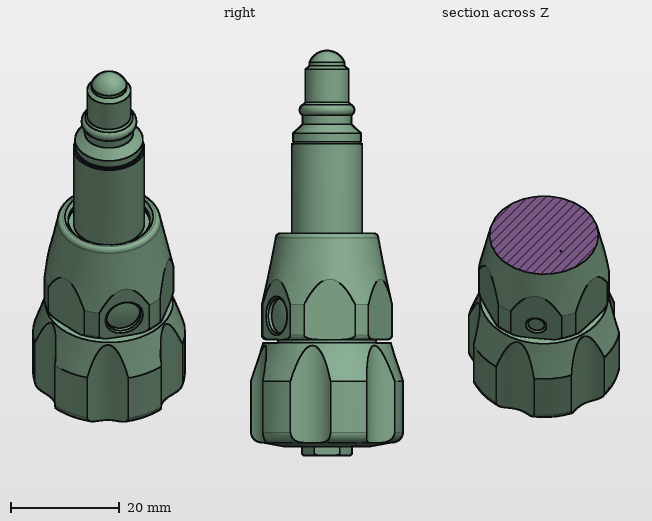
import cadquery as cq
import math

total_height = 74.4
side_count = 6
side_pitch = 360.0 / side_count

nut_across_flats = 7.95
nut_corner_radius = nut_across_flats / 2 / math.cos(math.radians(side_pitch / 2))
nut_chamfer = 0.3

knob_radius = 14.0
knob_top_radius = 11.75
knob_bottom_z = 1.6
knob_dish_radius = 7.8
knob_rim_bottom_z = 2.4
knob_rim_inner_radius = 11.9
knob_wall_bottom_z = 4.25
knob_shoulder_z = 13.7
knob_top_z = 20.7
scallop_radius = 5.35
scallop_floor_radius = 11.9
scallop_angle = 47.0

neck_radius = 9.0

collar_radius = 12.0
collar_flat_radius = 11.0
collar_flat_angle = 2.6
collar_bottom_z = 21.3
collar_bottom_radius = 11.1
collar_wall_bottom_z = 22.2
collar_shoulder_z = 27.75
collar_taper_top_z = 39.95
collar_taper_top_radius = 9.45
collar_top_z = 40.8
collar_rim_radius = 8.5
bore_mouth_radius = 8.1
bore_radius = 7.5
bore_depth = 1.5
bore_taper_depth = 0.75

button_angle = collar_flat_angle - side_pitch
button_z = 25.65
button_radius = 6.5 / 2
button_mouth_radius = 7.15 / 2
button_depth = 1.05
button_crown = 0.3
vent_angle = button_angle + 180
vent_z = 24.6
vent_radius = 3.05 / 2
vent_mouth_radius = 3.9 / 2
recess_chamfer_depth = 0.3

spindle_radius = 13.0 / 2
spindle_top_z = 57.2
groove_radius = 6.1
groove_top_z = 57.6
land_radius = 12.5 / 2
land_top_z = 59.2
waist_radius = 9.0 / 2
waist_bottom_z = 60.85
bead_bottom_z = 62.5
bead_mid_z = 63.4
bead_radius = 5.05
bead_top_z = 64.4
bead_top_radius = 4.4
bead_blend_top_z = 64.85
pin_radius = 8.0 / 2
pin_shoulder_z = 70.9
tip_radius = 6.5 / 2
tip_bottom_z = 71.55
dome_bottom_z = 72.2


def radial_plane(angle, distance, z):
    """Plane facing outward from the axis at the given angle."""
    direction = cq.Vector(math.cos(math.radians(angle)), math.sin(math.radians(angle)), 0)
    origin = direction * distance + cq.Vector(0, 0, z)
    return cq.Plane(origin=origin, xDir=(0, 0, 1), normal=direction)


def revolve_profile(profile):
    """Close an XZ half profile and revolve it about Z."""
    return profile.close().revolve(360, (0, 0, 0), (0, 1, 0))


def edge_round_middle(inner_radius, outer_radius, wall_z, face_z):
    """Middle point of the arc rounding the edge between a side wall and an end face."""
    bulge = math.sqrt(0.5)
    return (
        inner_radius + bulge * (outer_radius - inner_radius),
        wall_z + bulge * (face_z - wall_z),
    )


def make_nut():
    hexagon = (
        cq.Workplane("XY")
        .polygon(side_count, 2 * nut_corner_radius)
        .extrude(knob_top_z)
        .rotate((0, 0, 0), (0, 0, 1), side_pitch / 2)
    )
    chamfer_limit = cq.Workplane("XY").circle(nut_corner_radius).extrude(knob_top_z)
    chamfer_limit = chamfer_limit.faces("<Z").chamfer(nut_chamfer)
    return hexagon.intersect(chamfer_limit)


def make_knob():
    rim_middle = edge_round_middle(
        knob_rim_inner_radius, knob_radius, knob_wall_bottom_z, knob_rim_bottom_z
    )
    knob = revolve_profile(
        cq.Workplane("XZ")
        .moveTo(0, knob_bottom_z)
        .lineTo(knob_dish_radius, knob_bottom_z)
        .lineTo(knob_rim_inner_radius, knob_rim_bottom_z)
        .threePointArc(rim_middle, (knob_radius, knob_wall_bottom_z))
        .lineTo(knob_radius, knob_shoulder_z)
        .lineTo(knob_top_radius, knob_top_z)
        .lineTo(0, knob_top_z)
    )
    scallops = (
        cq.Workplane("XY")
        .polarArray(scallop_floor_radius + scallop_radius, scallop_angle, 360, side_count)
        .circle(scallop_radius)
        .extrude(knob_top_z)
    )
    return knob.cut(scallops)


def make_recess(angle, z, radius, mouth_radius, depth, crown):
    """Chamfered round recess in a collar flat, with a floor that may be crowned."""
    plane = radial_plane(angle, collar_flat_radius, z)
    bore = cq.Workplane(plane).circle(radius).extrude(-depth)
    mouth = cq.Workplane(plane).circle(mouth_radius).workplane(offset=-recess_chamfer_depth)
    mouth = mouth.circle(radius).loft()
    recess = bore.union(mouth)
    if crown > 0:
        sphere_radius = (radius**2 + crown**2) / (2 * crown)
        center_distance = collar_flat_radius - depth + crown - sphere_radius
        ball = cq.Workplane(radial_plane(angle, center_distance, z)).sphere(sphere_radius)
        recess = recess.cut(ball)
    return recess


def make_collar():
    bottom_middle = edge_round_middle(
        collar_bottom_radius, collar_radius, collar_wall_bottom_z, collar_bottom_z
    )
    top_middle = edge_round_middle(
        collar_rim_radius, collar_taper_top_radius, collar_taper_top_z, collar_top_z
    )
    collar = revolve_profile(
        cq.Workplane("XZ")
        .moveTo(0, collar_bottom_z)
        .lineTo(collar_bottom_radius, collar_bottom_z)
        .threePointArc(bottom_middle, (collar_radius, collar_wall_bottom_z))
        .lineTo(collar_radius, collar_shoulder_z)
        .lineTo(collar_taper_top_radius, collar_taper_top_z)
        .threePointArc(top_middle, (collar_rim_radius, collar_top_z))
        .lineTo(bore_mouth_radius, collar_top_z)
        .lineTo(bore_radius, collar_top_z - bore_taper_depth)
        .lineTo(bore_radius, collar_top_z - bore_depth)
        .lineTo(0, collar_top_z - bore_depth)
    )
    flats = (
        cq.Workplane("XY")
        .workplane(offset=collar_bottom_z)
        .polygon(side_count, 2 * collar_flat_radius / math.cos(math.radians(side_pitch / 2)))
        .extrude(collar_top_z - collar_bottom_z)
        .rotate((0, 0, 0), (0, 0, 1), collar_flat_angle + side_pitch / 2)
    )
    button = make_recess(
        button_angle, button_z, button_radius, button_mouth_radius, button_depth, button_crown
    )
    vent = make_recess(vent_angle, vent_z, vent_radius, vent_mouth_radius, recess_chamfer_depth, 0)
    return collar.intersect(flats).cut(button).cut(vent)


def make_neck():
    return cq.Workplane("XY").workplane(offset=knob_top_z).circle(neck_radius).extrude(
        collar_bottom_z - knob_top_z
    )


def make_spindle():
    dome_height = total_height - dome_bottom_z
    dome_radius = (tip_radius**2 + dome_height**2) / (2 * dome_height)
    dome_mid_radius = tip_radius / 2
    dome_mid_z = total_height - dome_radius + math.sqrt(dome_radius**2 - dome_mid_radius**2)
    return revolve_profile(
        cq.Workplane("XZ")
        .moveTo(0, knob_top_z)
        .lineTo(spindle_radius, knob_top_z)
        .lineTo(spindle_radius, spindle_top_z)
        .lineTo(groove_radius, spindle_top_z)
        .lineTo(groove_radius, groove_top_z)
        .lineTo(land_radius, groove_top_z)
        .lineTo(land_radius, land_top_z)
        .lineTo(waist_radius, waist_bottom_z)
        .lineTo(waist_radius, bead_bottom_z)
        .threePointArc((bead_radius, bead_mid_z), (bead_top_radius, bead_top_z))
        .lineTo(pin_radius, bead_blend_top_z)
        .lineTo(pin_radius, pin_shoulder_z)
        .lineTo(tip_radius, tip_bottom_z)
        .lineTo(tip_radius, dome_bottom_z)
        .threePointArc((dome_mid_radius, dome_mid_z), (0, total_height))
    )


result = make_knob()
for section in (make_nut(), make_neck(), make_collar(), make_spindle()):
    result = result.union(section)